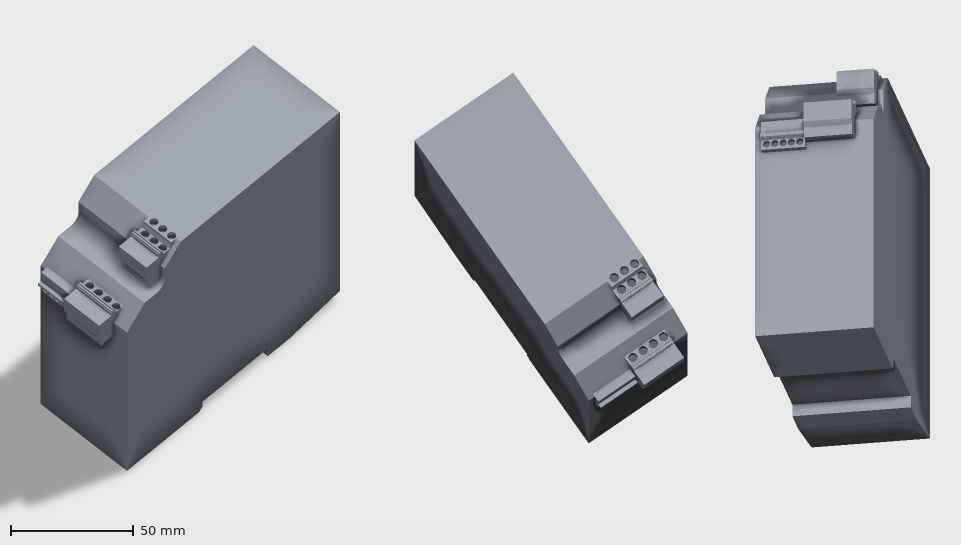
import cadquery as cq
import math


width = 49.4
height = 125.4
depth = 125.0

upper_front_depth = 102.8
upper_chamfer = 9.3
ledge_drop = 21.5
cove_radius = 5.0
lower_chamfer = 10.4

rear_rise = 4.4
rear_slope_length = 29.4

slot_rear_depth = 42.3
slot_width = 38.5
slot_height = 5.2
slot_lead_in = 1.9

upper_plug_front = 111.1
upper_plug_drop = 3.2
lower_plug_front = 133.5
lower_plug_drop = 26.2
nose_height = 8.4
nose_step = 1.5
nose_slope_height = 2.1
plug_height = 15.0
lip_height = 1.0
lip_length = 1.5

rail_front_setback = 7.2
rail_width = 2.4
rail_foot = 0.7
rail_height = 1.6
prong_height = 1.0
prong_inset = 0.3
prong_width = 0.7

upper_plug_center = 14.4
upper_plug_width = 15.8
upper_poles = 3
lower_plug_center = 7.1
lower_plug_width = 20.0
lower_poles = 4
plug_pitch = 5.1
plug_hole_diameter = 3.7
plug_hole_depth = 4.0
plug_hole_setback = 12.0
plug_hole_offset = 0.4

terminal_rear_depth = 91.6
terminal_front_depth = 96.5
terminal_face_height = 1.3
terminal_front_slant = 0.8
terminal_rise = 0.1
terminal_hole_depth_position = 93.9

strip_center = -12.5
strip_width = 18.4
strip_drop = 30.8
strip_height = 12.5
strip_thickness = 2.8
strip_poles = 5
strip_pitch = 3.5
strip_hole_diameter = 3.1
strip_hole_depth = 2.7
strip_hole_drop = 40.9
lug_drop = 36.7
lug_reach = 1.7
lug_front_height = 1.5
lug_root_height = 2.4

embed = 2.7


def at(depth_forward, drop):
    """Position in the YZ plane."""
    return (-depth_forward, height - drop)


def extrude_across(outline, center, span):
    """Extrude a closed YZ outline along X, centred on the given X position."""
    return outline.close().extrude(span / 2, both=True).translate((center, 0, 0))


def prism(points, center, span):
    outline = cq.Workplane("YZ").polyline([at(*point) for point in points])
    return extrude_across(outline, center, span)


def pole_positions(center, count, pitch):
    return [center + (i - (count - 1) / 2) * pitch for i in range(count)]


def make_housing():
    cove_mid = cove_radius * (1 - math.sqrt(0.5))
    slot_front_depth = slot_rear_depth + slot_width
    outline = (
        cq.Workplane("YZ")
        .moveTo(*at(0, 0))
        .lineTo(*at(upper_front_depth - upper_chamfer, 0))
        .lineTo(*at(upper_front_depth, upper_chamfer))
        .lineTo(*at(upper_front_depth, ledge_drop - cove_radius))
        .threePointArc(
            at(upper_front_depth + cove_mid, ledge_drop - cove_mid),
            at(upper_front_depth + cove_radius, ledge_drop),
        )
        .lineTo(*at(depth - lower_chamfer, ledge_drop))
        .lineTo(*at(depth, ledge_drop + lower_chamfer))
        .lineTo(*at(depth, height))
        .lineTo(*at(slot_front_depth + slot_lead_in, height))
        .lineTo(*at(slot_front_depth, height - slot_lead_in))
        .lineTo(*at(slot_front_depth, height - slot_height))
        .lineTo(*at(slot_rear_depth, height - slot_height))
        .lineTo(*at(slot_rear_depth, height))
        .lineTo(*at(rear_slope_length, height))
        .lineTo(*at(0, height - rear_rise))
    )
    return extrude_across(outline, 0, width)


def make_plug(front, top_drop, shoulder_depth, chamfer_rear_depth, center, span):
    """Plug seated against a chamfered shoulder, with the pronged rail on its top."""
    rail_front = front - rail_front_setback
    rail_rear = rail_front - rail_width
    rail_top = top_drop - rail_height
    prong_top = rail_top - prong_height
    prong_rears = [rail_rear + prong_inset, rail_front - prong_inset - prong_width]
    prong_outline = []
    for prong_rear in prong_rears:
        prong_front = prong_rear + prong_width
        prong_outline += [
            (prong_rear, rail_top),
            (prong_rear, prong_top),
            (prong_front, prong_top),
            (prong_front, rail_top),
        ]
    lip_rear = front - nose_step - lip_length
    bottom = top_drop + plug_height
    underside = bottom - lip_height
    return prism(
        [
            (chamfer_rear_depth, top_drop),
            (rail_rear - rail_foot, top_drop),
            (rail_rear, top_drop - rail_height / 2),
            (rail_rear, rail_top),
            *prong_outline,
            (rail_front, rail_top),
            (rail_front, top_drop),
            (front, top_drop),
            (front, top_drop + nose_height),
            (front - nose_step, top_drop + nose_height + nose_slope_height),
            (front - nose_step, bottom),
            (lip_rear, bottom),
            (lip_rear, underside),
            (shoulder_depth - embed, underside),
            (shoulder_depth - embed, top_drop + shoulder_depth - embed - chamfer_rear_depth),
        ],
        center,
        span,
    )


def make_terminal_row():
    """Raised terminal row on the upper chamfer, directly behind the upper plug."""
    foot_front = terminal_front_depth + terminal_front_slant
    return prism(
        [
            (terminal_rear_depth, -terminal_rise),
            (terminal_front_depth, -terminal_rise),
            (terminal_front_depth, terminal_face_height - terminal_rise),
            (foot_front, upper_plug_drop),
            (foot_front, upper_plug_drop + embed),
            (terminal_rear_depth, upper_plug_drop + embed),
        ],
        upper_plug_center,
        upper_plug_width,
    )


def make_strip():
    front = depth + strip_thickness
    return prism(
        [
            (depth - embed, strip_drop),
            (front, strip_drop),
            (front, lug_drop),
            (front + lug_reach, lug_drop),
            (front + lug_reach, lug_drop + lug_front_height),
            (front, lug_drop + lug_root_height),
            (front, strip_drop + strip_height),
            (depth - embed, strip_drop + strip_height),
        ],
        strip_center,
        strip_width,
    )


def top_holes(center, count, depth_forward, top_drop):
    """Row of wire entries opening upwards."""
    y, top = at(depth_forward, top_drop)
    points = [(x, y) for x in pole_positions(center + plug_hole_offset, count, plug_pitch)]
    row = cq.Workplane("XY").workplane(offset=top - plug_hole_depth).pushPoints(points)
    return row.circle(plug_hole_diameter / 2).extrude(plug_hole_depth)


def strip_holes():
    """Row of wire entries opening to the front."""
    y, z = at(depth + strip_thickness, strip_hole_drop)
    points = [(x, z) for x in pole_positions(strip_center, strip_poles, strip_pitch)]
    row = cq.Workplane("XZ", origin=(0, y, 0)).pushPoints(points)
    return row.circle(strip_hole_diameter / 2).extrude(-strip_hole_depth)


upper_plug = make_plug(
    upper_plug_front,
    upper_plug_drop,
    upper_front_depth,
    upper_front_depth - upper_chamfer + upper_plug_drop,
    upper_plug_center,
    upper_plug_width,
)
lower_plug = make_plug(
    lower_plug_front,
    lower_plug_drop,
    depth,
    depth - lower_chamfer + lower_plug_drop - ledge_drop,
    lower_plug_center,
    lower_plug_width,
)

result = (
    make_housing()
    .union(upper_plug)
    .union(lower_plug)
    .union(make_terminal_row())
    .union(make_strip())
    .cut(top_holes(upper_plug_center, upper_poles, terminal_hole_depth_position, -terminal_rise))
    .cut(top_holes(upper_plug_center, upper_poles, upper_plug_front - plug_hole_setback, upper_plug_drop))
    .cut(top_holes(lower_plug_center, lower_poles, lower_plug_front - plug_hole_setback, lower_plug_drop))
    .cut(strip_holes())
)